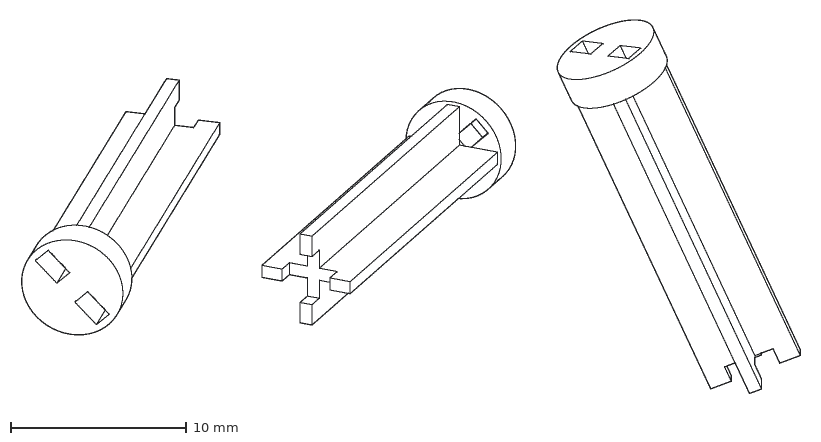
import cadquery as cq

total_length = 22.2
head_diameter = 6.0
head_thickness = 2.0

stem_width = 5.55
fin_thickness = 0.75

recess_width = 3.0
recess_depth = 1.0

slot_inner_radius = 0.75
slot_length = 1.8
slot_width = 1.07
slot_angle = -45.0

stem_length = total_length - head_thickness


def make_head():
    """Round head with its outer face on the plane Y = 0."""
    return cq.Workplane("XZ").circle(head_diameter / 2).extrude(-head_thickness)


def make_stem():
    """Two crossed fins running from the head along +Y."""
    base = cq.Workplane("XZ", origin=(0, head_thickness, 0))
    flat_fin = base.rect(stem_width, fin_thickness).extrude(-stem_length)
    upright_fin = base.rect(fin_thickness, stem_width).extrude(-stem_length)
    return flat_fin.union(upright_fin)


def make_end_recess():
    """Cutter that removes the middle of both fins at the free end."""
    return (
        cq.Workplane("XZ", origin=(0, total_length, 0))
        .rect(recess_width, recess_width)
        .extrude(recess_depth)
    )


def make_head_slots():
    """Cutter for the two opposite slots; it ends where the stem begins."""
    slot_center_radius = slot_inner_radius + slot_length / 2
    return (
        cq.Workplane("XZ")
        .transformed(rotate=(0, 0, slot_angle))
        .pushPoints([(-slot_center_radius, 0), (slot_center_radius, 0)])
        .rect(slot_length, slot_width)
        .extrude(-head_thickness)
    )


slotted_head = make_head().cut(make_head_slots())
notched_stem = make_stem().cut(make_end_recess())
result = slotted_head.union(notched_stem)